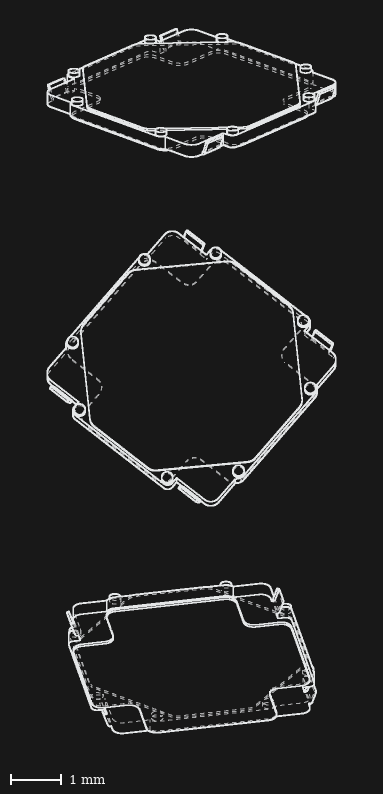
import cadquery as cq
import math

width = 4.5
total_height = 0.4

base_top = 0.05
body_top = 0.31
cover_top = 0.35

core_width = 3.985
core_depth = 4.33
core_corner_radius = 0.2
x_arm_width = 2.51
x_arm_corner_radius = 0.115
y_arm_width = 2.635
y_arm_corner_radius = 0.21

edge_margin = 0.05
plate_width = width - 2 * edge_margin
base_x_arm_width = 2.23
base_y_arm_width = 2.63
base_corner_radius = 0.205

cover_diagonal_reach = 2.985
cover_corner_radius = 0.235
dome_radius = 1.778

pin_radius = 0.112
pin_near = 1.12
pin_far = 2.125

terminal_width = 0.45
terminal_center_y = 1.645
terminal_thickness = 0.05
terminal_lean = math.radians(18.5)
terminal_bend_radius = 0.07
terminal_tip_x = 2.145
terminal_tip_z = 0.335
terminal_embed = 0.09


def rounded_block(size_x, size_y, bottom, top, radius):
    """Centred block with its four upright edges rounded."""
    block = cq.Workplane("XY").workplane(offset=bottom).rect(size_x, size_y).extrude(top - bottom)
    return block.edges("|Z").fillet(radius)


def make_housing():
    core = rounded_block(core_width, core_depth, base_top, body_top, core_corner_radius)
    x_arm = rounded_block(width, x_arm_width, base_top, body_top, x_arm_corner_radius)
    y_arm = rounded_block(y_arm_width, width, base_top, body_top, y_arm_corner_radius)
    return core.union(x_arm).union(y_arm)


def make_base_plate():
    x_arm = cq.Workplane("XY").rect(plate_width, base_x_arm_width).extrude(base_top)
    y_arm = cq.Workplane("XY").rect(base_y_arm_width, plate_width).extrude(base_top)
    return x_arm.union(y_arm).edges("|Z").fillet(base_corner_radius)


def make_cover():
    corner_cut = plate_width - cover_diagonal_reach
    sheet = (
        cq.Workplane("XY")
        .workplane(offset=body_top)
        .rect(plate_width, plate_width)
        .extrude(cover_top - body_top)
    )
    return sheet.edges("|Z").chamfer(corner_cut).edges("|Z").fillet(cover_corner_radius)


def make_dome():
    """Very shallow cone rising to a point at the centre of the cover."""
    return (
        cq.Workplane("YZ")
        .moveTo(0, cover_top)
        .lineTo(dome_radius, cover_top)
        .lineTo(0, total_height)
        .close()
        .revolve(360, (0, 0), (0, 1))
    )


def make_pins():
    centers = []
    for sign_x in (-1, 1):
        for sign_y in (-1, 1):
            centers.append((sign_x * pin_near, sign_y * pin_far))
            centers.append((sign_x * pin_far, sign_y * pin_near))
    return (
        cq.Workplane("XY")
        .workplane(offset=body_top)
        .pushPoints(centers)
        .circle(pin_radius)
        .extrude(total_height - body_top)
    )


def make_terminal():
    """Terminal on the +X, +Y corner: a foot entering the housing, then a leaf leaning outwards."""
    foot_top = base_top + terminal_thickness
    inner_end = core_width / 2 - terminal_embed
    slope = math.tan(terminal_lean)
    heel_x = terminal_tip_x - (terminal_tip_z - base_top) * slope
    inner_tip_x = terminal_tip_x - terminal_thickness * math.cos(terminal_lean)
    inner_tip_z = terminal_tip_z + terminal_thickness * math.sin(terminal_lean)
    inner_heel_x = inner_tip_x - (inner_tip_z - foot_top) * slope
    profile = [
        (inner_end, base_top),
        (heel_x, base_top),
        (terminal_tip_x, terminal_tip_z),
        (inner_tip_x, inner_tip_z),
        (inner_heel_x, foot_top),
        (inner_end, foot_top),
    ]
    strip = (
        cq.Workplane("XZ", origin=(0, terminal_center_y, 0))
        .polyline(profile)
        .close()
        .extrude(terminal_width / 2, both=True)
    )
    heel = cq.selectors.NearestToPointSelector((heel_x, terminal_center_y, base_top))
    return strip.edges("|Y").edges(heel).fillet(terminal_bend_radius)


result = make_housing()
for feature in (make_base_plate(), make_cover(), make_dome(), make_pins()):
    result = result.union(feature)

back_terminal = make_terminal()
front_terminal = back_terminal.mirror("XZ")
for terminal in (back_terminal, front_terminal):
    result = result.union(terminal).union(terminal.mirror("YZ"))